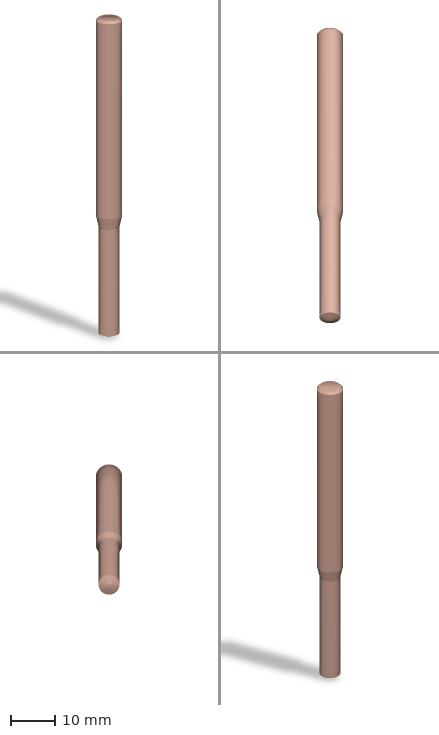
import cadquery as cq

total_length = 75.85
bottom_z = -total_length / 2
top_z = total_length / 2

shank_diameter = 6.0
shank_radius = shank_diameter / 2
shank_chamfer = 0.5
cone_top_z = bottom_z + 28.9
cone_length = 2.7

neck_diameter = 4.7
neck_radius = neck_diameter / 2
joint_z = bottom_z + 14.7
point_height = 0.8


def revolve_profile(points):
    """Turn a closed (radius, z) outline about the Z axis."""
    return cq.Workplane("XZ").polyline(points).close().revolve(360, (0, 0, 0), (0, 1, 0))


def make_shank():
    """Chamfered shank that tapers down to a straight neck."""
    cone_bottom_z = cone_top_z - cone_length
    return revolve_profile([
        (0, joint_z),
        (neck_radius, joint_z),
        (neck_radius, cone_bottom_z),
        (shank_radius, cone_top_z),
        (shank_radius, top_z - shank_chamfer),
        (shank_radius - shank_chamfer, top_z),
        (0, top_z),
    ])


def make_cutting_end():
    """Plain cylinder with a conical drill point, seated on the end of the neck."""
    return revolve_profile([
        (0, bottom_z),
        (neck_radius, bottom_z + point_height),
        (neck_radius, joint_z),
        (0, joint_z),
    ])


shank = make_shank()
cutting_end = make_cutting_end()
result = cq.Compound.makeCompound([shank.val(), cutting_end.val()])